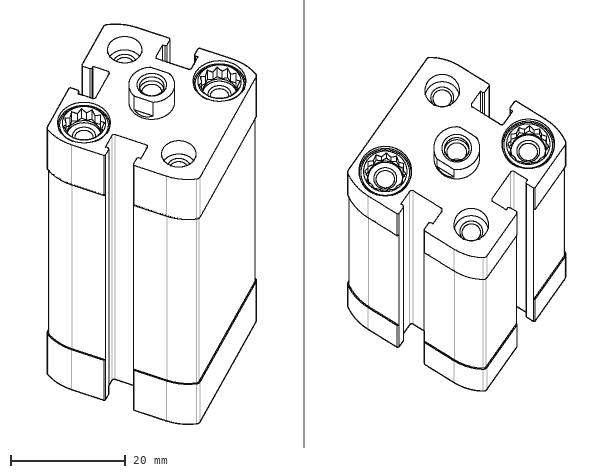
import cadquery as cq
import math

TOTAL_HEIGHT = 71.45
ROD_PROJECTION = 4.65
HOUSING_HEIGHT = TOTAL_HEIGHT - ROD_PROJECTION
CAP_HALF_WIDTH = 14.5
CAP_HEIGHT = 10.9
TUBE_INSET = 0.2

HOLE_OFFSET = 9.0
CORNER_ARC_RADIUS = 9.65
CORNER_EDGE_RADIUS = 0.8

SLOT_MOUTH_HALF_WIDTH = 2.65
SLOT_INNER_HALF_WIDTH = 3.35
SLOT_LIP_DEPTH = 1.9
SLOT_DEPTH = 5.15
MOUTH_CHAMFER = TUBE_INSET
LIP_CHAMFER = 0.25
SLOT_FLOOR_RADIUS = 0.4
SLOT_TURNS = (0, -90, 180)

THROUGH_DIAMETER = 3.2
COUNTERSINK_DIAMETER = 4.0
COUNTERBORE_DIAMETER = 6.0
COUNTERBORE_DEPTH = 3.65

GROOVE_TOP_DIAMETER = 9.2
GROOVE_FLOOR_DIAMETER = 9.0
RING_BASE_DIAMETER = 8.5
RING_CREST_DIAMETER = 7.6
RING_CREST_DEPTH = 0.15
GROOVE_DEPTH = 0.7
SERRATION_VALLEY_DIAMETER = 7.15
SERRATION_RIDGE_DIAMETER = 6.3
SERRATION_DEPTH = 3.1
RIDGE_BEVEL_DEPTH = 1.1
RIDGE_COUNT = 12

ROD_DIAMETER = 8.0
ROD_LENGTH = ROD_PROJECTION + CAP_HEIGHT
FLAT_HALF_WIDTH = 3.6
FLAT_HEIGHT = 3.7
ROD_MOUTH_DIAMETER = 5.15
ROD_RELIEF_DIAMETER = 4.3
ROD_RELIEF_DEPTH = 1.5
ROD_DRILL_DIAMETER = 3.4
ROD_DRILL_DEPTH = 10.0
DRILL_POINT_ANGLE = 118.0


def rounded_block(inset, bottom, top):
    """Square block with bulged corners, with every side moved in by the inset."""
    half = CAP_HALF_WIDTH - inset
    radius = CORNER_ARC_RADIUS - inset
    arc_centre_y = CAP_HALF_WIDTH - CORNER_ARC_RADIUS
    end_angle = math.acos((half - HOLE_OFFSET) / radius)
    middle_angle = (end_angle + math.pi / 2) / 2
    end_y = arc_centre_y + radius * math.sin(end_angle)
    middle_x = HOLE_OFFSET + radius * math.cos(middle_angle)
    middle_y = arc_centre_y + radius * math.sin(middle_angle)
    return (
        cq.Workplane("XY", origin=(0, 0, bottom))
        .moveTo(-HOLE_OFFSET, half)
        .lineTo(HOLE_OFFSET, half)
        .threePointArc((middle_x, middle_y), (half, end_y))
        .lineTo(half, -end_y)
        .threePointArc((middle_x, -middle_y), (HOLE_OFFSET, -half))
        .lineTo(-HOLE_OFFSET, -half)
        .threePointArc((-middle_x, -middle_y), (-half, -end_y))
        .lineTo(-half, end_y)
        .threePointArc((-middle_x, middle_y), (-HOLE_OFFSET, half))
        .close()
        .extrude(top - bottom)
        .edges("|Z and (<X or >X)")
        .fillet(CORNER_EDGE_RADIUS - inset)
    )


def t_slot(turn):
    """Full-height T-slot cutter for the -Y side, turned about Z to its own side."""
    face = -CAP_HALF_WIDTH
    lip_end = face + SLOT_LIP_DEPTH
    right_side = [
        (SLOT_MOUTH_HALF_WIDTH + MOUTH_CHAMFER, face),
        (SLOT_MOUTH_HALF_WIDTH, face + MOUTH_CHAMFER),
        (SLOT_MOUTH_HALF_WIDTH, lip_end - LIP_CHAMFER),
        (SLOT_MOUTH_HALF_WIDTH + LIP_CHAMFER, lip_end),
        (SLOT_INNER_HALF_WIDTH, lip_end),
        (SLOT_INNER_HALF_WIDTH, face + SLOT_DEPTH),
    ]
    left_side = [(-x, y) for x, y in reversed(right_side)]
    cutter = (
        cq.Workplane("XY")
        .polyline(right_side + left_side)
        .close()
        .extrude(HOUSING_HEIGHT)
        .faces(">Y")
        .edges("|Z")
        .fillet(SLOT_FLOOR_RADIUS)
    )
    return cutter.rotate((0, 0, 0), (0, 0, 1), turn)


def turned(profile):
    """Solid of revolution about Z from (diameter, height) points."""
    points = [(diameter / 2, height) for diameter, height in profile]
    return cq.Workplane("XZ").polyline(points).close().revolve(360, (0, 0), (0, 1))


def mounting_hole():
    """Counterbored and countersunk through hole, with the housing top at Z = 0."""
    countersink_depth = (COUNTERSINK_DIAMETER - THROUGH_DIAMETER) / 2
    return turned([
        (0, 0),
        (COUNTERBORE_DIAMETER, 0),
        (COUNTERBORE_DIAMETER, -COUNTERBORE_DEPTH),
        (COUNTERSINK_DIAMETER, -COUNTERBORE_DEPTH),
        (THROUGH_DIAMETER, -COUNTERBORE_DEPTH - countersink_depth),
        (THROUGH_DIAMETER, -HOUSING_HEIGHT),
        (0, -HOUSING_HEIGHT),
    ])


def serrated_socket():
    """Ring groove, bevelled mouth and serrated wall, with the housing top at Z = 0."""
    groove_and_mouth = turned([
        (0, 0),
        (GROOVE_TOP_DIAMETER, 0),
        (GROOVE_FLOOR_DIAMETER, -GROOVE_DEPTH),
        (RING_BASE_DIAMETER, -GROOVE_DEPTH),
        (RING_CREST_DIAMETER, -RING_CREST_DEPTH),
        (SERRATION_RIDGE_DIAMETER, -RIDGE_BEVEL_DEPTH),
        (0, -RIDGE_BEVEL_DEPTH),
    ])
    star_points = []
    half_pitch = math.pi / RIDGE_COUNT
    for i in range(RIDGE_COUNT):
        valley_angle = 2 * i * half_pitch
        ridge_angle = valley_angle + half_pitch
        for diameter, angle in (
            (SERRATION_VALLEY_DIAMETER, valley_angle),
            (SERRATION_RIDGE_DIAMETER, ridge_angle),
        ):
            star_points.append((diameter / 2 * math.cos(angle), diameter / 2 * math.sin(angle)))
    serrations = cq.Workplane("XY").polyline(star_points).close().extrude(-SERRATION_DEPTH)
    return groove_and_mouth.union(serrations)


def build_housing():
    """Slotted housing: bottom cap, tube and top cap in one piece, with a blind rod bore."""
    top_cap_bottom = HOUSING_HEIGHT - CAP_HEIGHT
    housing = (
        rounded_block(0, 0, CAP_HEIGHT)
        .union(rounded_block(TUBE_INSET, CAP_HEIGHT, top_cap_bottom))
        .union(rounded_block(0, top_cap_bottom, HOUSING_HEIGHT))
    )

    for turn in SLOT_TURNS:
        housing = housing.cut(t_slot(turn))

    for x_side in (-1, 1):
        for y_side in (-1, 1):
            place = (x_side * HOLE_OFFSET, y_side * HOLE_OFFSET, HOUSING_HEIGHT)
            housing = housing.cut(mounting_hole().translate(place))
            if x_side == y_side:
                housing = housing.cut(serrated_socket().translate(place))

    rod_bore = (
        cq.Workplane("XY", origin=(0, 0, TOTAL_HEIGHT - ROD_LENGTH))
        .circle(ROD_DIAMETER / 2)
        .extrude(ROD_LENGTH)
    )
    return housing.cut(rod_bore)


def rod_flat(side):
    """Cutter for one wrench flat on the rod, ending in a 45 degree run-out."""
    flat_end = TOTAL_HEIGHT - FLAT_HEIGHT
    outer = ROD_DIAMETER
    run_out = outer - FLAT_HALF_WIDTH
    return (
        cq.Workplane("YZ")
        .polyline([
            (side * FLAT_HALF_WIDTH, TOTAL_HEIGHT),
            (side * FLAT_HALF_WIDTH, flat_end),
            (side * outer, flat_end - run_out),
            (side * outer, TOTAL_HEIGHT),
        ])
        .close()
        .extrude(ROD_DIAMETER / 2, both=True)
    )


def build_rod():
    """Piston rod with two wrench flats and a stepped blind bore in its end."""
    rod = (
        cq.Workplane("XY", origin=(0, 0, TOTAL_HEIGHT - ROD_LENGTH))
        .circle(ROD_DIAMETER / 2)
        .extrude(ROD_LENGTH)
    )
    for side in (-1, 1):
        rod = rod.cut(rod_flat(side))

    mouth_depth = (ROD_MOUTH_DIAMETER - ROD_RELIEF_DIAMETER) / 2
    step_depth = (ROD_RELIEF_DIAMETER - ROD_DRILL_DIAMETER) / 2
    point_depth = ROD_DRILL_DIAMETER / 2 / math.tan(math.radians(DRILL_POINT_ANGLE / 2))
    end_bore = turned([
        (0, 0),
        (ROD_MOUTH_DIAMETER, 0),
        (ROD_RELIEF_DIAMETER, -mouth_depth),
        (ROD_RELIEF_DIAMETER, -ROD_RELIEF_DEPTH),
        (ROD_DRILL_DIAMETER, -ROD_RELIEF_DEPTH - step_depth),
        (ROD_DRILL_DIAMETER, -ROD_DRILL_DEPTH),
        (0, -ROD_DRILL_DEPTH - point_depth),
    ])
    return rod.cut(end_bore.translate((0, 0, TOTAL_HEIGHT)))


housing = build_housing()
rod = build_rod()
result = cq.Compound.makeCompound([housing.val(), rod.val()])